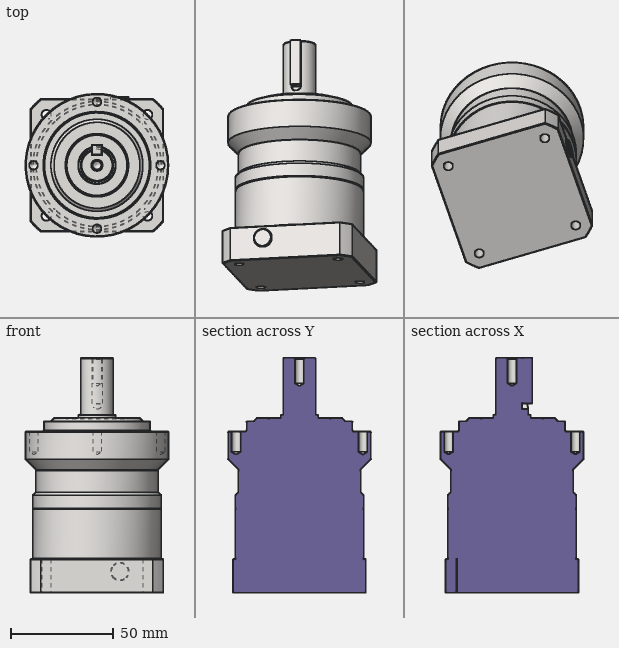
import cadquery as cq
import math

plate_side = 65.0
plate_turned_radius = 42.5
plate_top_z = 16.7
plate_hole_circle = 70.0
plate_hole_diameter = 4.5

edge_break = 0.4
joint_chamfer = 0.3
body_radius = 31.5
body_joint_z = 41.2
shoulder_z = 47.7
neck_radius = 30.0
flange_radius = 35.0
flange_bottom_z = 65.4
flange_top_z = 79.0
pilot_radius = 26.0
pilot_foot_height = 0.6
pilot_foot_width = 0.3
pilot_top_z = 84.0
cover_base_radius = 22.5
cover_top_z = 85.5
seal_groove_radius = 15.1
seal_groove_depth = 0.4

collar_radius = 9.25
collar_top_z = 87.1
shaft_radius = 8.0
shaft_foot_fillet = 0.3
shaft_end_chamfer = 0.5
shaft_top_z = 115.0
center_hole_diameter = 4.2
center_hole_mouth_diameter = 5.6
center_hole_depth = 12.5

key_width = 5.0
key_seat_y = 5.0
key_outer_y = 10.0
keyway_length = 25.0
key_end_chamfer = 0.3

flange_hole_circle = 62.0
flange_hole_diameter = 4.2
flange_hole_depth = 10.0
drill_point_angle = 118.0

plug_x = 11.1
plug_z = 10.6
plug_radius = 4.5
plug_height = 1.1
plug_chamfer = 0.4


def make_plate():
    """Square plate whose four corners are turned to one circle."""
    square = cq.Workplane("XY").rect(plate_side, plate_side).extrude(plate_top_z)
    disc = cq.Workplane("XY").circle(plate_turned_radius).extrude(plate_top_z)
    plate = square.intersect(disc).faces("<Z or >Z").chamfer(edge_break)
    holes = (
        cq.Workplane("XY")
        .polarArray(plate_hole_circle / 2, 45, 360, 4)
        .circle(plate_hole_diameter / 2)
        .extrude(plate_top_z)
    )
    return plate.cut(holes)


def make_turned_body():
    """Housing, flange, pilot, cover, collar and shaft as one revolved profile."""
    groove_radius = body_radius - joint_chamfer
    shoulder_top_z = shoulder_z + body_radius - neck_radius
    undercut_radius = neck_radius - joint_chamfer
    undercut_z = flange_bottom_z - (flange_radius - undercut_radius)
    cover_top_radius = cover_base_radius - (cover_top_z - pilot_top_z)
    profile = (
        cq.Workplane("XZ")
        .moveTo(0, plate_top_z)
        .lineTo(groove_radius, plate_top_z)
        .lineTo(body_radius, plate_top_z + joint_chamfer)
        .lineTo(body_radius, body_joint_z - joint_chamfer)
        .lineTo(groove_radius, body_joint_z)
        .lineTo(body_radius, body_joint_z + joint_chamfer)
        .lineTo(body_radius, shoulder_z)
        .lineTo(neck_radius, shoulder_top_z)
        .lineTo(neck_radius, undercut_z - joint_chamfer)
        .lineTo(undercut_radius, undercut_z)
        .lineTo(flange_radius, flange_bottom_z)
        .lineTo(flange_radius, flange_top_z - edge_break)
        .lineTo(flange_radius - edge_break, flange_top_z)
        .lineTo(pilot_radius + pilot_foot_width, flange_top_z)
        .lineTo(pilot_radius, flange_top_z + pilot_foot_height)
        .lineTo(pilot_radius, pilot_top_z - edge_break)
        .lineTo(pilot_radius - edge_break, pilot_top_z)
        .lineTo(cover_base_radius, pilot_top_z)
        .lineTo(cover_top_radius, cover_top_z)
        .lineTo(seal_groove_radius + seal_groove_depth, cover_top_z)
        .lineTo(seal_groove_radius, cover_top_z - seal_groove_depth)
        .lineTo(seal_groove_radius - seal_groove_depth, cover_top_z)
        .lineTo(collar_radius, cover_top_z)
        .lineTo(collar_radius, collar_top_z - joint_chamfer)
        .lineTo(collar_radius - joint_chamfer, collar_top_z)
        .lineTo(shaft_radius + shaft_foot_fillet, collar_top_z)
        .radiusArc((shaft_radius, collar_top_z + shaft_foot_fillet), shaft_foot_fillet)
        .lineTo(shaft_radius, shaft_top_z - shaft_end_chamfer)
        .lineTo(shaft_radius - shaft_end_chamfer, shaft_top_z)
        .lineTo(0, shaft_top_z)
        .close()
    )
    return profile.revolve(360, (0, 0, 0), (0, 1, 0))


def drilled_hole(x, y, top_z, diameter, depth):
    """Cutter for a blind hole with a drill point, going down from top_z."""
    radius = diameter / 2
    point_depth = radius / math.tan(math.radians(drill_point_angle / 2))
    cutter = (
        cq.Workplane("XZ")
        .lineTo(radius, 0)
        .lineTo(radius, -depth)
        .lineTo(0, -depth - point_depth)
        .close()
        .revolve(360, (0, 0, 0), (0, 1, 0))
    )
    return cutter.translate((x, y, top_z))


def cut_flange_holes(part):
    """Four blind holes on the flange hole circle, on the X and Y axes."""
    for index in range(4):
        angle = math.radians(90 * index)
        x = flange_hole_circle / 2 * math.cos(angle)
        y = flange_hole_circle / 2 * math.sin(angle)
        part = part.cut(drilled_hole(x, y, flange_top_z, flange_hole_diameter, flange_hole_depth))
    return part


def cut_center_hole(part):
    """Threaded hole in the shaft end with a 45 degree countersink."""
    hole_radius = center_hole_diameter / 2
    mouth_radius = center_hole_mouth_diameter / 2
    countersink = cq.Solid.makeCone(
        hole_radius,
        mouth_radius,
        mouth_radius - hole_radius,
        pnt=cq.Vector(0, 0, shaft_top_z - (mouth_radius - hole_radius)),
    )
    hole = drilled_hole(0, 0, shaft_top_z, center_hole_diameter, center_hole_depth)
    return part.cut(hole).cut(cq.Workplane(countersink))


def add_key(part):
    """Keyway with a round lower end, filled by a square-ended key."""
    key_height = key_outer_y - key_seat_y
    end_radius = key_width / 2
    key_length = keyway_length - end_radius
    blank = (
        cq.Workplane("XY")
        .box(key_width, key_height, key_length, centered=(True, False, False))
        .translate((0, key_seat_y, shaft_top_z - key_length))
    )
    key = blank.faces("<Z or >Z").chamfer(key_end_chamfer)
    round_end = (
        cq.Workplane("XZ", origin=(0, key_seat_y, 0))
        .center(0, shaft_top_z - key_length)
        .circle(end_radius)
        .extrude(-key_height)
    )
    return part.cut(blank).cut(round_end).union(key)


def add_plug(part):
    """Low round plug with a chamfered rim, standing on the +Y face of the plate."""
    plate_face_y = plate_side / 2
    plug = (
        cq.Workplane("XZ", origin=(plug_x, plate_face_y, plug_z))
        .circle(plug_radius)
        .extrude(-plug_height)
        .faces(">Y")
        .chamfer(plug_chamfer)
    )
    return part.union(plug)


result = make_plate().union(make_turned_body())
result = cut_flange_holes(result)
result = cut_center_hole(result)
result = add_key(result)
result = add_plug(result)